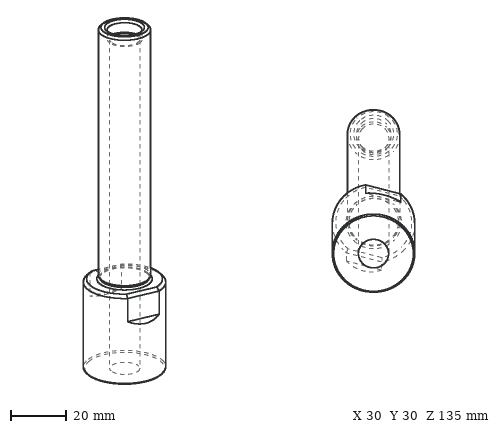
import cadquery as cq

total_height = 135.0

head_diameter = 30.0
head_height = 35.4
head_top_chamfer = 1.2
head_bottom_chamfer = 0.5
flat_spacing = 26.9
flat_bottom = 25.0

shank_diameter = 19.0
shank_top_chamfer = 1.0
groove_diameter = 18.0
groove_flare_diameter = 20.1
groove_flare_height = 0.5
groove_height = 1.5
groove_neck_height = 0.4

bore_diameter = 11.0
counterbore_diameter = 12.5
counterbore_mouth_diameter = 14.5
counterbore_depth = 4.7


def make_head():
    """Cylinder with opposite flats that run out downward at 45 degrees."""
    head = cq.Workplane("XY").circle(head_diameter / 2).extrude(head_height)
    head = head.faces("<Z").chamfer(head_bottom_chamfer)
    flat_x = flat_spacing / 2
    outer_x = head_diameter
    runout = outer_x - flat_x
    flat_cutter = (
        cq.Workplane("XZ")
        .moveTo(flat_x, head_height)
        .lineTo(flat_x, flat_bottom)
        .lineTo(outer_x, flat_bottom - runout)
        .lineTo(outer_x, head_height)
        .close()
        .extrude(head_diameter / 2, both=True)
    )
    head = head.cut(flat_cutter).cut(flat_cutter.mirror("YZ"))
    return head.faces(">Z").chamfer(head_top_chamfer)


def make_shank():
    """Revolved shank, narrowed by a groove whose root flares onto the head."""
    shank_radius = shank_diameter / 2
    groove_radius = groove_diameter / 2
    flare_top = head_height + groove_flare_height
    return (
        cq.Workplane("XZ")
        .moveTo(0, head_height)
        .lineTo(groove_flare_diameter / 2, head_height)
        .lineTo(groove_radius, flare_top)
        .lineTo(groove_radius, flare_top + groove_neck_height)
        .lineTo(shank_radius, head_height + groove_height)
        .lineTo(shank_radius, total_height - shank_top_chamfer)
        .lineTo(shank_radius - shank_top_chamfer, total_height)
        .lineTo(0, total_height)
        .close()
        .revolve(360, (0, 0), (0, 1))
    )


def make_bore():
    """Through bore with a counterbore and a 45 degree lead-in at the top."""
    bore_radius = bore_diameter / 2
    counterbore_radius = counterbore_diameter / 2
    mouth_radius = counterbore_mouth_diameter / 2
    lead_in = mouth_radius - counterbore_radius
    counterbore_floor = total_height - counterbore_depth
    return (
        cq.Workplane("XZ")
        .lineTo(bore_radius, 0)
        .lineTo(bore_radius, counterbore_floor)
        .lineTo(counterbore_radius, counterbore_floor)
        .lineTo(counterbore_radius, total_height - lead_in)
        .lineTo(mouth_radius, total_height)
        .lineTo(0, total_height)
        .close()
        .revolve(360, (0, 0), (0, 1))
    )


result = make_head().union(make_shank()).cut(make_bore())